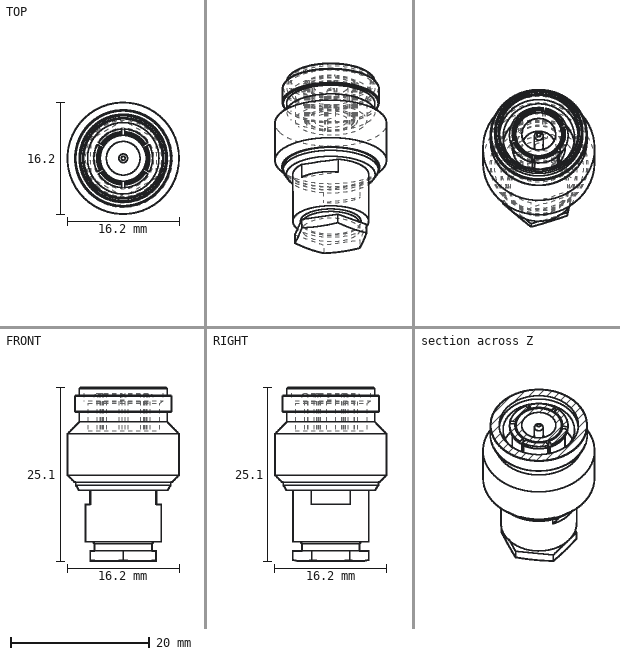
import cadquery as cq
import math

total_height = 25.15
nut_top = 1.48
neck_top = 2.5
barrel_bottom = 2.8
flat_bottom = 8.22
shell_bottom = 10.24
collar_bottom = 10.81
shell_lower_cone = 11.45
shell_lower_edge = 12.45
shell_upper_edge = 18.4
shell_upper_cone = 20.17
ring_bottom = 21.55
ring_top = 24.0

shell_radius = 8.1
lower_cone_radius = 7.1
collar_radius = 6.92
collar_lip_radius = 6.77
shell_bottom_radius = 6.45
sleeve_radius = 6.4
ring_radius = 7.02
barrel_radius = 5.5
neck_radius = 4.17
edge_chamfer = 0.15
rim_chamfer = 0.23
rim_chamfer_height = 0.18
barrel_chamfer_radius = 4.4

nut_across_flats = 9.55
nut_chamfer_radius = 4.8
nut_chamfer_height = 0.15
wrench_flat_offset = 4.73
barrel_core_radius = 4.83

socket_floor = 18.85
socket_radius = 5.18
mouth_radius = 5.7
mouth_bottom = 23.21
mouth_cone_height = 0.38
mouth_chamfer = 0.18

crown_top = 24.35
crown_radius = 4.25
crown_bead_width = 0.4
crown_bead_height = 1.25
crown_bore_radius = 3.42
crown_bore_chamfer = 0.2
slot_count = 6
slot_width = 0.38
slot_overshoot = 0.25

insulator_top = 24.15
insulator_radius = 3.32
insulator_bore_radius = 2.45
pin_top = 23.87
pin_radius = 0.63
pin_tip_radius = 0.28
pin_tip_height = 0.5
pin_tip_bulge = 0.05


def revolve(profile):
    """Turn a closed (radius, height) profile about the Z axis."""
    return profile.close().revolve(360, (0, 0, 0), (0, 1, 0))


def cylinder(radius, bottom, top):
    return cq.Workplane("XY").workplane(offset=bottom).circle(radius).extrude(top - bottom)


def make_nut():
    """Hexagonal nut with corners on the Y axis and a chamfered lower face."""
    corner_radius = nut_across_flats / math.sqrt(3)
    hexagon = (
        cq.Workplane("XY")
        .polygon(6, 2 * corner_radius)
        .extrude(nut_top)
        .rotate((0, 0, 0), (0, 0, 1), 90)
    )
    chamfer_envelope = revolve(
        cq.Workplane("XZ").polyline([
            (0, 0),
            (nut_chamfer_radius, 0),
            (corner_radius, nut_chamfer_height),
            (corner_radius, nut_top),
            (0, nut_top),
        ])
    )
    return hexagon.intersect(chamfer_envelope)


def make_barrel():
    """Rear barrel with a recessed neck and two wrench flats that bare its core."""
    barrel = revolve(
        cq.Workplane("XZ").polyline([
            (0, nut_top),
            (neck_radius, nut_top),
            (neck_radius, neck_top),
            (barrel_chamfer_radius, barrel_bottom),
            (barrel_radius, barrel_bottom),
            (barrel_radius, shell_bottom),
            (0, shell_bottom),
        ])
    )
    flat_height = shell_bottom - flat_bottom
    flat_depth = barrel_radius - wrench_flat_offset
    for side in (-1, 1):
        flat_cut = cq.Workplane("XY").box(
            flat_depth, 2 * barrel_radius, flat_height, centered=(True, True, False)
        ).translate((side * (wrench_flat_offset + flat_depth / 2), 0, flat_bottom))
        barrel = barrel.cut(flat_cut)
    return barrel.union(cylinder(barrel_core_radius, flat_bottom, shell_bottom))


def make_shell():
    """Coupling shell with its conical shoulders, raised ring and open front socket."""
    ring_edge_radius = ring_radius - edge_chamfer
    mouth_cone_bottom = mouth_bottom - mouth_cone_height
    return revolve(
        cq.Workplane("XZ").polyline([
            (0, shell_bottom),
            (shell_bottom_radius, shell_bottom),
            (collar_lip_radius, collar_bottom),
            (collar_radius, collar_bottom + edge_chamfer),
            (collar_radius, shell_lower_cone),
            (lower_cone_radius, shell_lower_cone),
            (shell_radius, shell_lower_edge),
            (shell_radius, shell_upper_edge),
            (sleeve_radius, shell_upper_cone),
            (sleeve_radius, ring_bottom),
            (ring_edge_radius, ring_bottom),
            (ring_radius, ring_bottom + edge_chamfer),
            (ring_radius, ring_top - edge_chamfer),
            (ring_edge_radius, ring_top),
            (sleeve_radius, ring_top),
            (sleeve_radius, total_height - rim_chamfer_height),
            (sleeve_radius - rim_chamfer, total_height),
            (mouth_radius + mouth_chamfer, total_height),
            (mouth_radius, total_height - mouth_chamfer),
            (mouth_radius, mouth_bottom),
            (socket_radius, mouth_cone_bottom),
            (socket_radius, socket_floor),
            (0, socket_floor),
        ])
    )


def make_crown():
    """Ring of spring fingers with a rounded bead around the top."""
    root_radius = crown_radius - crown_bead_width
    crown = revolve(
        cq.Workplane("XZ")
        .moveTo(crown_bore_radius, socket_floor)
        .lineTo(root_radius, socket_floor)
        .lineTo(root_radius, crown_top - crown_bead_height)
        .threePointArc((crown_radius, crown_top - crown_bead_height / 2), (root_radius, crown_top))
        .lineTo(crown_bore_radius + crown_bore_chamfer, crown_top)
        .lineTo(crown_bore_radius, crown_top - crown_bore_chamfer)
    )
    slot_length = crown_radius + slot_overshoot
    for index in range(slot_count):
        slot = (
            cq.Workplane("XY")
            .box(slot_width, slot_length, crown_top - socket_floor, centered=(True, False, False))
            .translate((0, 0, socket_floor))
            .rotate((0, 0, 0), (0, 0, 1), index * 360 / slot_count)
        )
        crown = crown.cut(slot)
    return crown


def make_insulator():
    """Insulating sleeve between the crown and the pin, open around the pin."""
    sleeve = cylinder(insulator_radius, socket_floor, insulator_top)
    return sleeve.cut(cylinder(insulator_bore_radius, socket_floor, insulator_top))


def make_pin():
    """Centre pin with a rounded, flat-ended tip."""
    shoulder = pin_top - pin_tip_height
    slope_width = pin_radius - pin_tip_radius
    slope_length = math.hypot(slope_width, pin_tip_height)
    arc_radius = (pin_radius + pin_tip_radius) / 2 + pin_tip_bulge * pin_tip_height / slope_length
    arc_height = (shoulder + pin_top) / 2 + pin_tip_bulge * slope_width / slope_length
    return revolve(
        cq.Workplane("XZ")
        .moveTo(0, socket_floor)
        .lineTo(pin_radius, socket_floor)
        .lineTo(pin_radius, shoulder)
        .threePointArc((arc_radius, arc_height), (pin_tip_radius, pin_top))
        .lineTo(0, pin_top)
    )


result = make_nut()
for component in (make_barrel(), make_shell(), make_crown(), make_insulator(), make_pin()):
    result = result.union(component)